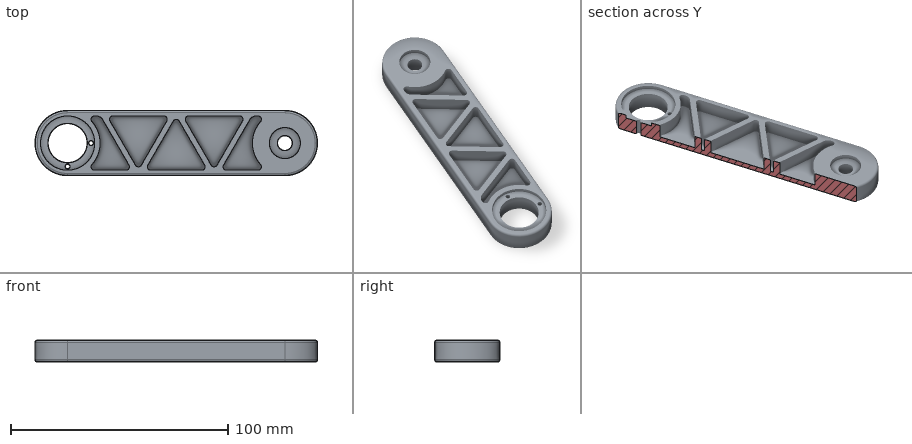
import cadquery as cq
import math

LENGTH = 130.0
WIDTH = 30.0
THICKNESS = 10.0
EDGE_FILLET = 1.0
END_RADIUS = WIDTH / 2
END_X = LENGTH / 2 - END_RADIUS

BEARING_BORE_RADIUS = 9.0
BEARING_RECESS_RADIUS = 12.5
BEARING_RECESS_DEPTH = 1.8
PIN_HOLE_RADIUS = 1.0
PIN_CIRCLE_RADIUS = 10.8

BOLT_HOLE_RADIUS = 3.4
BOLT_COUNTERBORE_RADIUS = 7.2
BOLT_COUNTERBORE_DEPTH = 2.2

POCKET_DEPTH = 7.0
POCKET_HALF_WIDTH = 12.5
POCKET_CORNER_RADIUS = 1.5
END_POCKET_SHOULDER_RADIUS = 3.5
END_BOSS_RADIUS = 15.0
STRUT_WIDTH = 2.6

TRIANGLE_HALF_SIDE = 2 * POCKET_HALF_WIDTH / math.sqrt(3)
TRIANGLE_PITCH = TRIANGLE_HALF_SIDE + STRUT_WIDTH / math.sin(math.radians(60))


def bar():
    """Round-ended bar, rounded over around its top and bottom faces."""
    body = cq.Workplane("XY").slot2D(LENGTH, WIDTH).extrude(THICKNESS)
    return body.faces("<Z or >Z").edges().fillet(EDGE_FILLET)


def cylinder_from_top(x, y, radius, depth):
    """Round cutter reaching the given depth below the top face."""
    base = cq.Workplane("XY", origin=(x, y, THICKNESS - depth))
    return base.circle(radius).extrude(depth)


def prism_from_top(points):
    """Polygonal cutter with the depth of the truss pockets."""
    base = cq.Workplane("XY", origin=(0, 0, THICKNESS - POCKET_DEPTH))
    return base.polyline(points).close().extrude(POCKET_DEPTH)


def triangle_pocket(center_x, apex_side):
    """Triangular cutter; apex_side is +1 for an apex at +Y and -1 for -Y."""
    apex_y = apex_side * POCKET_HALF_WIDTH
    points = [
        (center_x - TRIANGLE_HALF_SIDE, -apex_y),
        (center_x + TRIANGLE_HALF_SIDE, -apex_y),
        (center_x, apex_y),
    ]
    return prism_from_top(points).edges("|Z").fillet(POCKET_CORNER_RADIUS)


def right_end_pocket():
    """Cutter between the last sloping strut and the round boss at the +X end."""
    shoulder_x = 2 * TRIANGLE_PITCH
    points = [
        (shoulder_x - TRIANGLE_HALF_SIDE, -POCKET_HALF_WIDTH),
        (END_X, -POCKET_HALF_WIDTH),
        (END_X, POCKET_HALF_WIDTH),
        (shoulder_x, POCKET_HALF_WIDTH),
    ]
    boss = cylinder_from_top(END_X, 0, END_BOSS_RADIUS, POCKET_DEPTH)
    pocket = prism_from_top(points).cut(boss)
    shoulder = cq.selectors.NearestToPointSelector(
        (shoulder_x, POCKET_HALF_WIDTH, THICKNESS - POCKET_DEPTH / 2)
    )
    pocket = pocket.edges(shoulder).fillet(END_POCKET_SHOULDER_RADIUS)

    boss_corner_x = END_X - math.sqrt(END_BOSS_RADIUS**2 - POCKET_HALF_WIDTH**2)
    sharp_corners = [
        (shoulder_x - TRIANGLE_HALF_SIDE, -POCKET_HALF_WIDTH),
        (boss_corner_x, -POCKET_HALF_WIDTH),
        (boss_corner_x, POCKET_HALF_WIDTH),
    ]
    for x, y in sharp_corners:
        corner = cq.selectors.NearestToPointSelector((x, y, THICKNESS - POCKET_DEPTH / 2))
        pocket = pocket.edges(corner).fillet(POCKET_CORNER_RADIUS)
    return pocket


result = bar()

for step in (-1, 0, 1):
    side = 1 if step == 0 else -1
    result = result.cut(triangle_pocket(step * TRIANGLE_PITCH, side))
end_pocket = right_end_pocket()
result = result.cut(end_pocket).cut(end_pocket.mirror("YZ"))

result = result.cut(cylinder_from_top(-END_X, 0, BEARING_BORE_RADIUS, THICKNESS))
result = result.cut(cylinder_from_top(-END_X, 0, BEARING_RECESS_RADIUS, BEARING_RECESS_DEPTH))
for x, y in [(-END_X + PIN_CIRCLE_RADIUS, 0), (-END_X, -PIN_CIRCLE_RADIUS)]:
    result = result.cut(cylinder_from_top(x, y, PIN_HOLE_RADIUS, THICKNESS))

result = result.cut(cylinder_from_top(END_X, 0, BOLT_HOLE_RADIUS, THICKNESS))
result = result.cut(cylinder_from_top(END_X, 0, BOLT_COUNTERBORE_RADIUS, BOLT_COUNTERBORE_DEPTH))